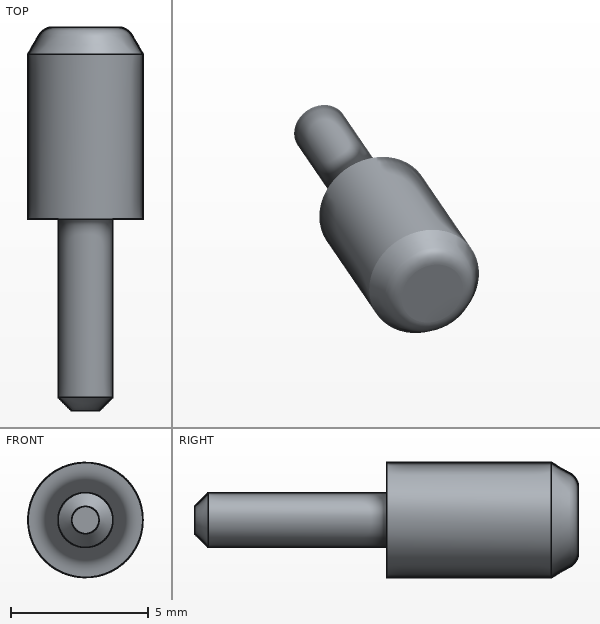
import cadquery as cq
import math

body_diameter = 4.2
body_length = 7.0
pin_diameter = 2.0
pin_length = 7.0
pin_chamfer = 0.5

taper_length = 1.0
taper_angle = math.radians(30)
blend_radius = 0.6

body_radius = body_diameter / 2
pin_radius = pin_diameter / 2
taper_start = body_length - taper_length

blend_center_y = body_length - blend_radius
cone_end_y = blend_center_y + blend_radius * math.sin(taper_angle)
cone_end_radius = body_radius - (cone_end_y - taper_start) * math.tan(taper_angle)
flat_radius = cone_end_radius - blend_radius * math.cos(taper_angle)
mid_angle = (taper_angle + math.pi / 2) / 2
blend_middle = (
    flat_radius + blend_radius * math.cos(mid_angle),
    blend_center_y + blend_radius * math.sin(mid_angle),
)

half_section = (
    cq.Workplane("XY")
    .moveTo(0, -pin_length)
    .lineTo(pin_radius - pin_chamfer, -pin_length)
    .lineTo(pin_radius, -pin_length + pin_chamfer)
    .lineTo(pin_radius, 0)
    .lineTo(body_radius, 0)
    .lineTo(body_radius, taper_start)
    .lineTo(cone_end_radius, cone_end_y)
    .threePointArc(blend_middle, (flat_radius, body_length))
    .lineTo(0, body_length)
    .close()
)

result = half_section.revolve(360, (0, 0, 0), (0, 1, 0))